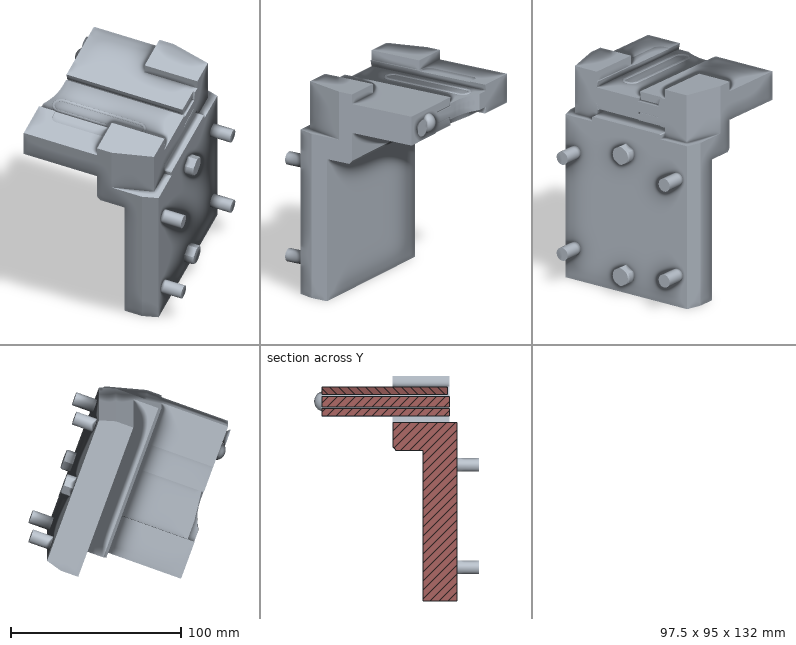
import cadquery as cq
import math


OVERALL_HEIGHT = 132.0
HALF_WIDTH = 47.5

PLATE_FRONT_X = 64.3
PLATE_BACK_X = 84.7
PLATE_CORNER_LENGTH = 9.5
PLATE_CORNER_DEPTH = 2.8
BLOCK_FRONT_X = 46.7
BLOCK_BACK_X = 80.3
BLOCK_BOTTOM_Z = 88.5
BLOCK_EDGE_LENGTH = 1.8
BLOCK_EDGE_HEIGHT = 2.2
BASE_TOP_Z = 102.2
RIB_TOP_Z = 105.2
RIB_EDGE = 0.5

SHOULDER_INNER_Y = 25.1
SHOULDER_TAPER_START_X = 55.8
SHOULDER_TAPER_DEPTH = 6.5

ARM_TOP_Z = 126.0
ARM_BOTTOM_Z = 108.1
SHORT_ARM_X = 5.0
CURVE_START_Y = 0.3
CURVE_END_Y = -17.8
TONGUE_TOP_Z = 122.1
TONGUE_BOTTOM_Z = 112.1
TONGUE_STEP_Y = 5.1
WEB_TOP_Z = 120.3
WEB_BOTTOM_Z = 113.8
CHANNEL_EDGE_Y = -24.0
CHANNEL_ROOT_Y = -SHOULDER_INNER_Y
GIB_OUTER_TOP_Y = 21.8
GIB_OUTER_ROOT_Y = 20.3
GIB_INNER_TOP_Y = 5.7
GIB_INNER_ROOT_Y = 6.7
GIB_ROOT_Z = 121.2
GIB_BACK_X = 79.0
LIP_TOP_Z = 113.4
LIP_BOTTOM_Z = 108.5

SLAB_BOTTOM_Z = 108.9
SLAB_FRONT_X = 4.4
SLAB_BEND_Y = -12.8
SLAB_SLANT = 2.2

RING_CENTRE_Y = -15.5
RING_START_X = 10.4
RING_END_X = 58.9
RING_OUTER_RADIUS = 5.4
RING_WIDTH = 2.0
RING_HEIGHT = 0.5
RING_EDGE = 0.4
RECESS_START_X = 10.4
RECESS_END_X = 45.8
RECESS_WALL_Y = -32.2
RECESS_RADIUS = 3.8
RECESS_DEPTH = 0.4

SCREW_Z = 117.2
DOME_Y = 30.2
DOME_RADIUS = 5.8
DOME_HEIGHT = 4.4
CONE_Y = 39.6
CONE_HEAD_RADIUS = 5.1
CONE_HEIGHT = 2.5

PIN_MIDDLE_Z = 49.9
ROUND_PIN_DIAMETER = 8.0
ROUND_PIN_LENGTH = 12.8
ROUND_PIN_Y = 37.5
ROUND_PIN_OFFSET_Z = 30.1
DIAMOND_PIN_DIAMETER = 12.0
DIAMOND_PIN_LENGTH = 5.8
DIAMOND_PIN_OFFSET_Z = 38.0
DIAMOND_CHAMFER_LENGTH = 0.9
DIAMOND_CHAMFER_DEPTH = 0.46


def box(x_range, y_range, z_range):
    """Box between the given limits on each axis."""
    lows, highs = zip(x_range, y_range, z_range)
    size = [high - low for low, high in zip(lows, highs)]
    return cq.Workplane("XY").box(*size, centered=False).translate(lows)


def prism_along_x(outline, start_x, end_x):
    """Closed (Y, Z) outline swept from start_x to end_x."""
    return cq.Workplane("YZ", origin=(start_x, 0, 0)).polyline(outline).close().extrude(end_x - start_x)


def make_base():
    """Plate with bevelled back corners, lower block, and edge-bevelled rib between the shoulders."""
    side_outline = [
        (BLOCK_FRONT_X, BASE_TOP_Z),
        (BLOCK_FRONT_X, BLOCK_BOTTOM_Z + BLOCK_EDGE_HEIGHT),
        (BLOCK_FRONT_X + BLOCK_EDGE_LENGTH, BLOCK_BOTTOM_Z),
        (PLATE_FRONT_X, BLOCK_BOTTOM_Z),
        (PLATE_FRONT_X, 0),
        (PLATE_BACK_X, 0),
        (PLATE_BACK_X, BASE_TOP_Z),
    ]
    base = cq.Workplane("XZ").polyline(side_outline).close().extrude(HALF_WIDTH, both=True)
    for side in (-1, 1):
        bevel_start_x = PLATE_BACK_X - PLATE_CORNER_LENGTH
        base = base.cut(corner_wedge(side, bevel_start_x, PLATE_BACK_X, PLATE_CORNER_DEPTH, 0, BASE_TOP_Z))
    rib = box((BLOCK_FRONT_X, PLATE_BACK_X), (-SHOULDER_INNER_Y, SHOULDER_INNER_Y), (BASE_TOP_Z, RIB_TOP_Z))
    return base.union(rib.edges("|X and >Z").chamfer(RIB_EDGE))


def corner_wedge(side, start_x, end_x, depth, bottom_z, top_z):
    """Triangular prism that bevels an upright outer corner on the -Y (-1) or +Y (+1) side."""
    outer_y = side * HALF_WIDTH
    outline = [(start_x, outer_y), (end_x, outer_y), (end_x, outer_y - side * depth)]
    return cq.Workplane("XY").workplane(offset=bottom_z).polyline(outline).close().extrude(top_z - bottom_z)


def make_shoulder(side):
    """Upright shoulder on one side of the channel, before its outer corner is tapered."""
    y_range = sorted((side * SHOULDER_INNER_Y, side * HALF_WIDTH))
    return box((BLOCK_FRONT_X, BLOCK_BACK_X), y_range, (BASE_TOP_Z, OVERALL_HEIGHT))


def make_arm():
    """Arm with a dovetail channel above and below its tongue, trimmed to a stepped, curved tip."""
    section = [
        (HALF_WIDTH, ARM_TOP_Z),
        (GIB_OUTER_TOP_Y, ARM_TOP_Z),
        (GIB_OUTER_ROOT_Y, GIB_ROOT_Z),
        (GIB_OUTER_ROOT_Y, WEB_TOP_Z),
        (TONGUE_STEP_Y, WEB_TOP_Z),
        (TONGUE_STEP_Y, TONGUE_TOP_Z),
        (CHANNEL_ROOT_Y, TONGUE_TOP_Z),
        (CHANNEL_EDGE_Y, ARM_TOP_Z),
        (-HALF_WIDTH, ARM_TOP_Z),
        (-HALF_WIDTH, ARM_BOTTOM_Z),
        (CHANNEL_EDGE_Y, ARM_BOTTOM_Z),
        (CHANNEL_ROOT_Y, TONGUE_BOTTOM_Z),
        (TONGUE_STEP_Y, TONGUE_BOTTOM_Z),
        (TONGUE_STEP_Y, WEB_BOTTOM_Z),
        (GIB_OUTER_ROOT_Y, WEB_BOTTOM_Z),
        (GIB_OUTER_ROOT_Y, LIP_TOP_Z),
        (GIB_INNER_ROOT_Y, LIP_TOP_Z),
        (GIB_INNER_TOP_Y, LIP_BOTTOM_Z),
        (GIB_OUTER_TOP_Y, LIP_BOTTOM_Z),
        (GIB_OUTER_TOP_Y, ARM_BOTTOM_Z),
        (HALF_WIDTH, ARM_BOTTOM_Z),
    ]
    curve_run = CURVE_START_Y - CURVE_END_Y
    plan = (
        cq.Workplane("XY")
        .moveTo(SHORT_ARM_X, HALF_WIDTH)
        .lineTo(SHORT_ARM_X, CURVE_START_Y)
        .tangentArcPoint((-SHORT_ARM_X, -curve_run), relative=True)
        .lineTo(0, -HALF_WIDTH)
        .lineTo(BLOCK_BACK_X, -HALF_WIDTH)
        .lineTo(BLOCK_BACK_X, HALF_WIDTH)
        .close()
        .extrude(OVERALL_HEIGHT)
    )
    return prism_along_x(section, 0, BLOCK_BACK_X).intersect(plan)


def make_slab():
    """Filler under the tongue, its front set back from the tip and slanting away towards the lower lip."""
    section = [
        (GIB_INNER_ROOT_Y, TONGUE_BOTTOM_Z),
        (GIB_INNER_ROOT_Y, SLAB_BOTTOM_Z),
        (CHANNEL_EDGE_Y, SLAB_BOTTOM_Z),
        (CHANNEL_ROOT_Y, TONGUE_BOTTOM_Z),
    ]
    plan = [
        (SLAB_FRONT_X, -HALF_WIDTH),
        (SLAB_FRONT_X, SLAB_BEND_Y),
        (SLAB_FRONT_X + SLAB_SLANT, GIB_INNER_ROOT_Y),
        (BLOCK_BACK_X, GIB_INNER_ROOT_Y),
        (BLOCK_BACK_X, -HALF_WIDTH),
    ]
    outline = cq.Workplane("XY").polyline(plan).close().extrude(OVERALL_HEIGHT)
    return prism_along_x(section, SLAB_FRONT_X, BLOCK_BACK_X).intersect(outline)


def make_ring():
    """Raised racetrack bead on the tongue with bevelled upper edges."""
    length = RING_END_X - RING_START_X
    middle = ((RING_START_X + RING_END_X) / 2, RING_CENTRE_Y)

    def racetrack(radius):
        return (
            cq.Workplane("XY", origin=(*middle, TONGUE_TOP_Z))
            .slot2D(length + 2 * radius, 2 * radius)
            .extrude(RING_HEIGHT)
        )

    ring = racetrack(RING_OUTER_RADIUS).cut(racetrack(RING_OUTER_RADIUS - RING_WIDTH))
    return ring.faces(">Z").chamfer(RING_EDGE)


def make_recess():
    """Shallow pocket in the top of the long arm, open to the channel and rounded at its far corners."""
    open_side_y = RING_CENTRE_Y - RING_OUTER_RADIUS
    z_range = (ARM_TOP_Z - RECESS_DEPTH, ARM_TOP_Z)
    pocket = box((RECESS_START_X, RECESS_END_X), (RECESS_WALL_Y, open_side_y), z_range)
    return pocket.edges("|Z and <Y").fillet(RECESS_RADIUS)


def make_dome_screw():
    """Spherical cap standing on the short arm's end face."""
    sphere_radius = (DOME_RADIUS ** 2 + DOME_HEIGHT ** 2) / (2 * DOME_HEIGHT)
    sphere_x = SHORT_ARM_X - DOME_HEIGHT + sphere_radius
    sphere = cq.Workplane("XY").sphere(sphere_radius).translate((sphere_x, DOME_Y, SCREW_Z))
    outside = box((SHORT_ARM_X - DOME_HEIGHT, SHORT_ARM_X), (0, HALF_WIDTH), (0, OVERALL_HEIGHT))
    return sphere.intersect(outside)


def make_cone_screw():
    """Countersunk screw head that widens outwards from the short arm's end face."""
    neck_radius = CONE_HEAD_RADIUS - CONE_HEIGHT
    head = cq.Solid.makeCone(
        neck_radius, CONE_HEAD_RADIUS, CONE_HEIGHT,
        pnt=cq.Vector(SHORT_ARM_X, CONE_Y, SCREW_Z), dir=cq.Vector(-1, 0, 0))
    return cq.Workplane(head)


def make_round_pin(y, z):
    """Cylindrical locating pin on the back of the plate."""
    workplane = cq.Workplane("YZ", origin=(PLATE_BACK_X, y, z))
    return workplane.circle(ROUND_PIN_DIAMETER / 2).extrude(ROUND_PIN_LENGTH)


def make_diamond_pin(z):
    """Relieved locating pin: two 120 degree ridges up and down, round flanks, bevelled end."""
    radius = DIAMOND_PIN_DIAMETER / 2
    flank_y = radius * math.cos(math.radians(30))
    flank_z = radius * math.sin(math.radians(30))
    workplane = cq.Workplane("YZ", origin=(PLATE_BACK_X, 0, z))
    diamond = (
        workplane
        .moveTo(0, radius)
        .lineTo(flank_y, flank_z)
        .threePointArc((radius, 0), (flank_y, -flank_z))
        .lineTo(0, -radius)
        .lineTo(-flank_y, -flank_z)
        .threePointArc((-radius, 0), (-flank_y, flank_z))
        .close()
        .extrude(DIAMOND_PIN_LENGTH)
    )
    envelope = (
        workplane.circle(radius).extrude(DIAMOND_PIN_LENGTH)
        .faces(">X").chamfer(DIAMOND_CHAMFER_LENGTH, DIAMOND_CHAMFER_DEPTH)
    )
    return diamond.intersect(envelope)


def make_bracket():
    """Complete bracket with its screws and locating pins."""
    bracket = make_base().union(make_arm()).union(make_slab())
    for side in (-1, 1):
        bracket = bracket.union(make_shoulder(side))
    for side in (-1, 1):
        bracket = bracket.cut(corner_wedge(
            side, SHOULDER_TAPER_START_X, BLOCK_BACK_X, SHOULDER_TAPER_DEPTH, BASE_TOP_Z, OVERALL_HEIGHT))
    bracket = bracket.cut(make_recess()).union(make_ring())
    bracket = bracket.union(make_dome_screw()).union(make_cone_screw())
    for level in (-1, 1):
        bracket = bracket.union(make_diamond_pin(PIN_MIDDLE_Z + level * DIAMOND_PIN_OFFSET_Z))
        for side in (-1, 1):
            pin_z = PIN_MIDDLE_Z + level * ROUND_PIN_OFFSET_Z
            bracket = bracket.union(make_round_pin(side * ROUND_PIN_Y, pin_z))
    return bracket


def make_gib():
    """Tapered gib strip that rests against the short arm's channel wall."""
    section = [
        (GIB_OUTER_TOP_Y, ARM_TOP_Z),
        (GIB_OUTER_ROOT_Y, GIB_ROOT_Z),
        (GIB_INNER_ROOT_Y, GIB_ROOT_Z),
        (GIB_INNER_TOP_Y, ARM_TOP_Z),
    ]
    return prism_along_x(section, SHORT_ARM_X, GIB_BACK_X)


bracket = make_bracket()
gib = make_gib()

result = cq.Compound.makeCompound([bracket.solids().val(), gib.val()])